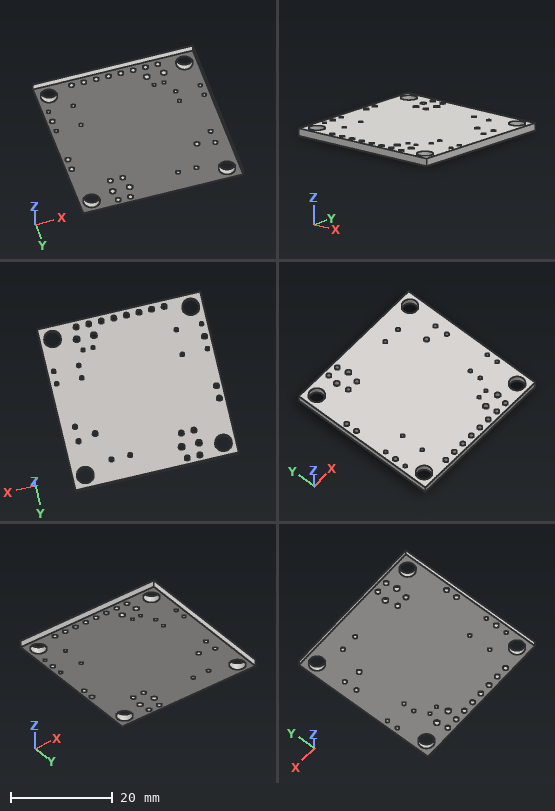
import cadquery as cq

side = 33.02
thickness = 1.6

pitch = 2.55
edge_row = 6 * pitch

mount_diameter = 3.3
post_diameter = 1.2
pin_diameter = 1.02
side_lead_diameter = 0.9
top_lead_diameter = 0.85
component_diameter = 0.75
fine_diameter = 0.7

mount_offset = 13.97
post_spacing = 3.5
post_y = 12.85
upper_post_center_x = -7.53
lower_post_center_x = 3 * pitch
fine_spacing = 2.0
fine_y = -10.47
top_lead_center_x = 6.35
top_lead_spacing = 3.8
top_lead_y = 12.12
side_lead_x = 13.7
side_lead_center_y = 5.6
side_lead_spacing = 2.97


def pair_along_x(center_x, y, spacing):
    """Two points at the same Y, placed evenly about center_x."""
    return [(center_x - spacing / 2, y), (center_x + spacing / 2, y)]


def pair_along_y(x, center_y, spacing):
    """Two points at the same X, placed evenly about center_y."""
    return [(x, center_y - spacing / 2), (x, center_y + spacing / 2)]


def grid_points(columns, rows):
    """Every crossing of the given columns and rows, counted in pitches from the centre."""
    return [(column * pitch, row * pitch) for column in columns for row in rows]


def drill(board, diameter, points):
    """Cut through holes of one diameter at all the points."""
    return board.faces(">Z").workplane(origin=(0, 0, thickness)).pushPoints(points).hole(diameter)


mounts = [(x, y) for x in (-mount_offset, mount_offset) for y in (-mount_offset, mount_offset)]

header_count = 8
header_start = -(header_count - 1) / 2 * pitch
pins = [(header_start + i * pitch, -edge_row) for i in range(header_count)]
pins += grid_points((-3.5, -2.5), (4, 6))
pins += grid_points((-6,), (2, 1, -3))
pins += grid_points((4,), (2.5,))

posts = pair_along_x(upper_post_center_x, post_y, post_spacing)
posts += pair_along_x(lower_post_center_x, -post_y, post_spacing)

top_leads = pair_along_x(top_lead_center_x, top_lead_y, top_lead_spacing)
side_leads = pair_along_y(side_lead_x, side_lead_center_y, side_lead_spacing)
component_leads = grid_points((-6, -4), (-2, -4)) + grid_points((4, 6), (-2, -3))
fine_leads = pair_along_x(lower_post_center_x, fine_y, fine_spacing)

hole_groups = [
    (mount_diameter, mounts),
    (post_diameter, posts),
    (pin_diameter, pins),
    (side_lead_diameter, side_leads),
    (top_lead_diameter, top_leads),
    (component_diameter, component_leads),
    (fine_diameter, fine_leads),
]

board = cq.Workplane("XY").box(side, side, thickness, centered=(True, True, False))
for diameter, points in hole_groups:
    board = drill(board, diameter, points)

result = board